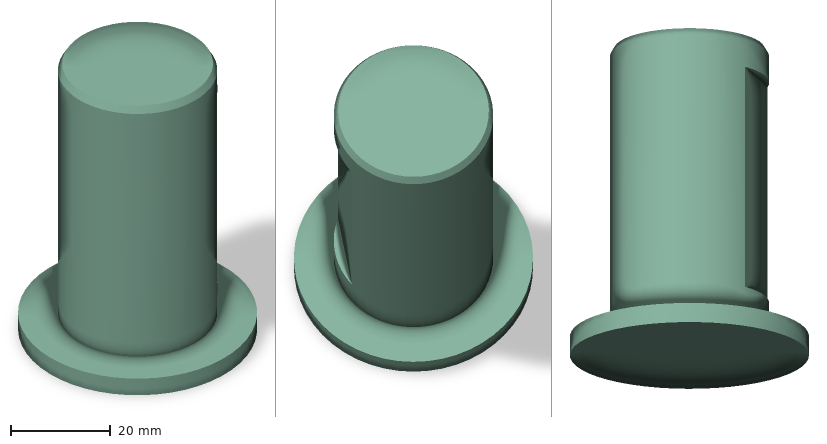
import cadquery as cq
import math

total_height = 64.0
flange_diameter = 48.0
flange_thickness = 4.0
shank_diameter = 32.0

tip_chamfer_height = 1.5
tip_chamfer_angle = 30.0

flat_depth = 2.0
flat_bottom_offset = 7.0
flat_top_offset = 7.0

shank_radius = shank_diameter / 2
tip_radius = shank_radius - tip_chamfer_height * math.tan(math.radians(tip_chamfer_angle))


def make_pin():
    """Revolve the half profile of flange, shank and tapered tip about Z."""
    flange_radius = flange_diameter / 2
    profile = (
        cq.Workplane("XZ")
        .moveTo(0, 0)
        .lineTo(flange_radius, 0)
        .lineTo(flange_radius, flange_thickness)
        .lineTo(shank_radius, flange_thickness)
        .lineTo(shank_radius, total_height - tip_chamfer_height)
        .lineTo(tip_radius, total_height)
        .lineTo(0, total_height)
        .close()
    )
    return profile.revolve(360, (0, 0, 0), (0, 1, 0))


def make_flat_cutter():
    """Block that removes the +Y segment of the shank between the flat's two ends."""
    flat_bottom = flange_thickness + flat_bottom_offset
    flat_length = total_height - flat_top_offset - flat_bottom
    block = cq.Workplane("XY").box(
        shank_diameter, shank_radius, flat_length, centered=(True, False, False)
    )
    return block.translate((0, shank_radius - flat_depth, flat_bottom))


result = make_pin().cut(make_flat_cutter())